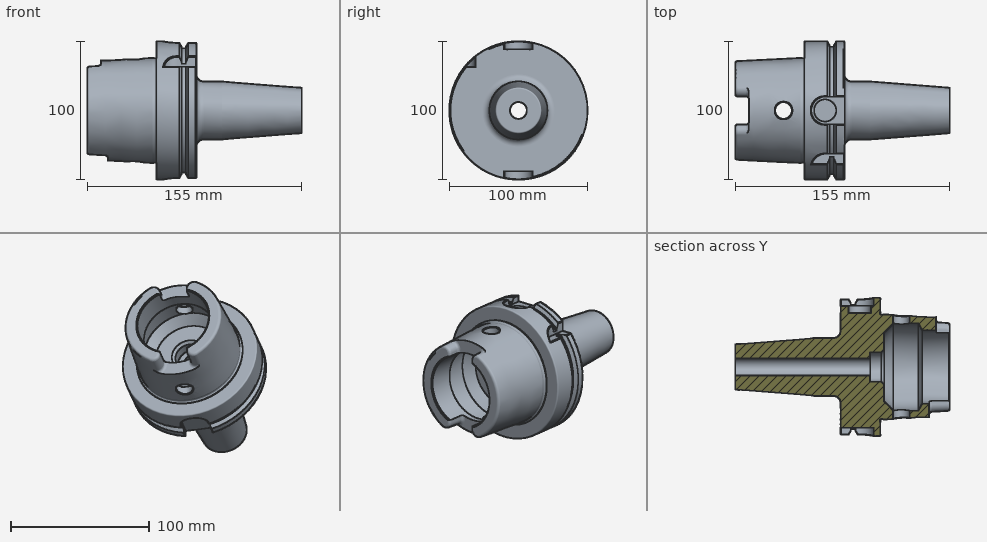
import cadquery as cq
import math


tail_x = -50.0
flange_x = 29.0
neck_end_x = 47.5
nose_x = 105.0

taper_ratio = 9.98
gauge_diameter = 75.013
gauge_x = -12.5
relief_diameter = 75.52
taper_end_x = -2.6
relief_x = -1.4
recess_diameter = 78.8
recess_depth = 0.5
recess_fillet = 1.0
tail_fillet = 2.0

flange_diameter = 100.0
flange_edge_fillet = 1.0
groove_diameter = 92.0
groove_x = 19.8
groove_bottom_width = 3.2
groove_top_width = 6.7
groove_flank_angle = 30.0

neck_diameter = 42.0
neck_fillet = 5.0
nose_angle = 4.5
nose_fillet = 1.0

mouth_diameter = 53.0
mouth_chamfer = 0.8
lip_length = 20.0
clamp_diameter = 63.0
clamp_shoulder_angle = 30.0
clamp_end_x = -9.3
floor_diameter = 49.4
socket_mouth_diameter = 25.2
socket_diameter = 21.0
socket_depth = 10.0
through_diameter = 12.0

slot_width = 20.0
slot_depth_top = 10.0
slot_depth_bottom = 15.0
slot_flank_radius = 5.0
slot_floor_fillet = 2.0

cross_hole_diameter = 12.0
cross_hole_x = -15.0
cross_hole_chamfer = 0.5

keyway_width = 20.0
keyway_x = 15.0
keyway_floor_z = 44.0
keyway_chamfer = 0.5
data_hole_diameter = 16.0
data_hole_depth = 5.0
notch_floor_z = 31.5
notch_wall_y = -31.3

flange_radius = flange_diameter / 2
clearance = 1.0
tolerance = 0.01


def taper_radius(x):
    return (gauge_diameter + (x - gauge_x) / taper_ratio) / 2


def revolve_about_x(profile):
    return profile.close().revolve(360, (0, 0, 0), (1, 0, 0))


def outer_body():
    relief_radius = relief_diameter / 2
    neck_radius = neck_diameter / 2
    nose_radius = neck_radius - (nose_x - neck_end_x) * math.tan(math.radians(nose_angle))
    edge = flange_edge_fillet
    return revolve_about_x(
        cq.Workplane("XY")
        .moveTo(tail_x, 0)
        .lineTo(tail_x, taper_radius(tail_x))
        .lineTo(taper_end_x, taper_radius(taper_end_x))
        .lineTo(relief_x, relief_radius)
        .lineTo(recess_depth - recess_fillet, relief_radius)
        .radiusArc((recess_depth, relief_radius + recess_fillet), -recess_fillet)
        .lineTo(recess_depth, recess_diameter / 2)
        .lineTo(0, recess_diameter / 2)
        .lineTo(0, flange_radius - edge)
        .radiusArc((edge, flange_radius), edge)
        .lineTo(flange_x - edge, flange_radius)
        .radiusArc((flange_x, flange_radius - edge), edge)
        .lineTo(flange_x, neck_radius + neck_fillet)
        .radiusArc((flange_x + neck_fillet, neck_radius), -neck_fillet)
        .lineTo(neck_end_x, neck_radius)
        .lineTo(nose_x, nose_radius)
        .lineTo(nose_x, 0)
    ).edges(">X").fillet(nose_fillet)


def gripper_groove():
    """Ring cutter for the V-flanked groove around the flange."""
    groove_radius = groove_diameter / 2
    half_bottom = groove_bottom_width / 2
    half_top = groove_top_width / 2
    flank_rise = (half_top - half_bottom) / math.tan(math.radians(groove_flank_angle))
    flank_radius = flange_radius - flank_rise
    return revolve_about_x(
        cq.Workplane("XY")
        .moveTo(groove_x - half_top, flange_radius)
        .lineTo(groove_x - half_bottom, flank_radius)
        .lineTo(groove_x - half_bottom, groove_radius)
        .lineTo(groove_x + half_bottom, groove_radius)
        .lineTo(groove_x + half_bottom, flank_radius)
        .lineTo(groove_x + half_top, flange_radius)
    )


def bore():
    mouth_radius = mouth_diameter / 2
    clamp_radius = clamp_diameter / 2
    floor_radius = floor_diameter / 2
    socket_radius = socket_diameter / 2
    lip_x = tail_x + lip_length
    shoulder_run = (clamp_radius - mouth_radius) * math.tan(math.radians(clamp_shoulder_angle))
    floor_x = clamp_end_x + clamp_radius - floor_radius
    socket_cone = (socket_mouth_diameter - socket_diameter) / 2
    return revolve_about_x(
        cq.Workplane("XY")
        .moveTo(tail_x, 0)
        .lineTo(tail_x, mouth_radius + mouth_chamfer)
        .lineTo(tail_x + mouth_chamfer, mouth_radius)
        .lineTo(lip_x, mouth_radius)
        .lineTo(lip_x + shoulder_run, clamp_radius)
        .lineTo(clamp_end_x, clamp_radius)
        .lineTo(floor_x, floor_radius)
        .lineTo(floor_x, socket_radius + socket_cone)
        .lineTo(floor_x + socket_cone, socket_radius)
        .lineTo(floor_x + socket_depth, socket_radius)
        .lineTo(floor_x + socket_depth, through_diameter / 2)
        .lineTo(nose_x, through_diameter / 2)
        .lineTo(nose_x, 0)
    )


def drive_slot(depth):
    """Cutter for the drive slot on the +Z side."""
    length = depth + clearance
    start = cq.Workplane("XY", origin=(tail_x + depth - length / 2, 0, 0))
    return start.rect(length, slot_width).extrude(flange_radius)


def round_slot_flanks(body):
    """Round the long edges where the slot walls meet the taper."""
    half = slot_width / 2
    edge_z = math.sqrt(taper_radius(tail_x) ** 2 - half**2)
    for side, depth in ((1, slot_depth_top), (-1, slot_depth_bottom)):
        for wall_y in (-half, half):
            low, high = sorted((side * (edge_z - clearance), side * (edge_z + clearance)))
            middle_x = tail_x + depth / 2
            box = cq.selectors.BoxSelector(
                (middle_x - clearance, wall_y - clearance, low),
                (middle_x + clearance, wall_y + clearance, high),
            )
            body = body.edges(box).fillet(slot_flank_radius)
    return body


def round_slot_floors(body):
    """Round the corners between the slot walls and the slot floors."""
    inner_z = taper_radius(tail_x) - slot_flank_radius / 2
    for depth in (slot_depth_top, slot_depth_bottom):
        floor_x = tail_x + depth
        box = cq.selectors.BoxSelector(
            (floor_x - tolerance, -slot_width, -inner_z),
            (floor_x + tolerance, slot_width, inner_z),
        )
        body = body.edges(box).edges("<Y or >Y or |Z").fillet(slot_floor_fillet)
    return body


def flange_slot(centre_y, floor_z):
    """Cutter for a slot with a round end, open through the rear flange face."""
    length = flange_x + clearance - keyway_x
    round_end = cq.Workplane("XY", origin=(keyway_x, centre_y, floor_z)).circle(keyway_width / 2)
    straight = cq.Workplane("XY", origin=(keyway_x + length / 2, centre_y, floor_z)).rect(length, keyway_width)
    height = flange_radius
    return round_end.extrude(height).union(straight.extrude(height))


def cross_hole():
    start = cq.Workplane("XY", origin=(cross_hole_x, 0, -flange_radius))
    return start.circle(cross_hole_diameter / 2).extrude(flange_diameter)


def chamfer_cross_hole(body):
    """Break both rims of the cross hole on the taper."""
    radius = cross_hole_diameter / 2
    inner_z = taper_radius(cross_hole_x) - clearance

    def is_rim(edge):
        centre = edge.Center()
        return abs(centre.x - cross_hole_x) < radius and abs(centre.y) < radius and abs(centre.z) > inner_z

    return body.edges().filter(is_rim).chamfer(cross_hole_chamfer)


def chamfer_flange_slots(body):
    """Break the edges where the keyways and the notch open through the flange rim."""
    front_x = keyway_x - keyway_width / 2
    back_x = flange_x - flange_edge_fillet

    def is_rim(edge):
        centre = edge.Center()
        on_rim = math.hypot(centre.y, centre.z) > flange_radius - clearance
        above_notch_floor = abs(centre.z) > notch_floor_z - tolerance
        return on_rim and above_notch_floor and front_x < centre.x < back_x - tolerance

    return body.edges().filter(is_rim).chamfer(keyway_chamfer)


def data_hole():
    return (
        cq.Workplane("XY", origin=(keyway_x, 0, keyway_floor_z - data_hole_depth))
        .circle(data_hole_diameter / 2)
        .extrude(data_hole_depth + clearance)
    )


def upside_down(cutter):
    return cutter.rotate((0, 0, 0), (1, 0, 0), 180)


result = outer_body().cut(drive_slot(slot_depth_top)).cut(upside_down(drive_slot(slot_depth_bottom)))
result = round_slot_floors(round_slot_flanks(result))
result = result.faces("<X").edges().fillet(tail_fillet)
result = chamfer_cross_hole(result.cut(cross_hole())).cut(bore())

keyway = flange_slot(0, keyway_floor_z)
notch = flange_slot(notch_wall_y - keyway_width / 2, notch_floor_z)
result = chamfer_flange_slots(result.cut(keyway).cut(upside_down(keyway)).cut(notch))
result = result.cut(gripper_groove()).cut(data_hole())